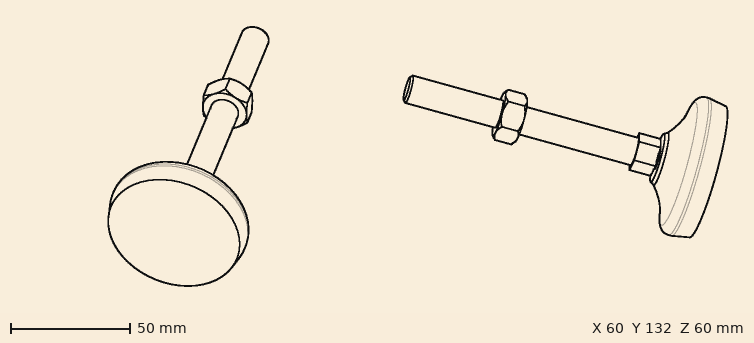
import cadquery as cq
import math


FOOT_RADIUS = 60 / 2
SOLE_RADIUS = 28.6
BAND_BOTTOM = 7.7
BAND_TOP = 8.9
RIM_ROUND = 4.0
FLARE_RADIUS = 30.0
FLARE_END_ANGLE = math.radians(10)
FOOT_HEIGHT = 22.0
SHOULDER_HEIGHT = 1.5
TOP_RADIUS = 10.5

TOTAL_LENGTH = 132.0
STUD_DIAMETER = 12.0
STUD_CHAMFER = 1.0
NECK_DIAMETER = 10.0
NECK_LENGTH = 0.8

HEX_BOTTOM = FOOT_HEIGHT + NECK_LENGTH
HEX_LENGTH = 9.3
HEX_WIDTH = 14.0

NUT_BOTTOM = 82.0
NUT_THICKNESS = 9.6
NUT_WIDTH = 19.0
NUT_FACE_RADIUS = NUT_WIDTH / 2
NUT_CHAMFER_ANGLE = math.radians(40)


def across_corners(width_across_flats):
    """Corner-to-corner width of a regular hexagon."""
    return width_across_flats / math.cos(math.pi / 6)


def plane_at(y):
    """Plane square to the axis at height y; its local x runs along Z and its normal along +Y."""
    return cq.Workplane(cq.Plane(origin=(0, y, 0), xDir=(0, 0, 1), normal=(0, 1, 0)))


def cylinder(bottom, top, diameter):
    return plane_at(bottom).circle(diameter / 2).extrude(top - bottom)


def hexagon(bottom, length, width_across_flats):
    """Hexagonal prism with two corners on Z and two flats facing X."""
    return plane_at(bottom).polygon(6, across_corners(width_across_flats)).extrude(length)


def revolve_about_y(profile):
    return profile.close().revolve(360, (0, 0, 0), (0, 1, 0))


def make_foot():
    rim_x = FOOT_RADIUS - RIM_ROUND
    rim_y = BAND_TOP

    def on_rim(angle):
        return (rim_x + RIM_ROUND * math.sin(angle), rim_y + RIM_ROUND * math.cos(angle))

    centre_distance = RIM_ROUND + FLARE_RADIUS
    flare_x = rim_x + centre_distance * math.sin(FLARE_END_ANGLE)
    flare_y = rim_y + centre_distance * math.cos(FLARE_END_ANGLE)

    def on_flare(angle):
        return (flare_x - FLARE_RADIUS * math.sin(angle), flare_y - FLARE_RADIUS * math.cos(angle))

    rim_middle_angle = (math.pi / 2 + FLARE_END_ANGLE) / 2
    shoulder_y = FOOT_HEIGHT - SHOULDER_HEIGHT
    shoulder_angle = math.acos((flare_y - shoulder_y) / FLARE_RADIUS)
    flare_middle_angle = (FLARE_END_ANGLE + shoulder_angle) / 2

    profile = (
        cq.Workplane("XY")
        .lineTo(SOLE_RADIUS, 0)
        .lineTo(FOOT_RADIUS, BAND_BOTTOM)
        .lineTo(FOOT_RADIUS, BAND_TOP)
        .threePointArc(on_rim(rim_middle_angle), on_rim(FLARE_END_ANGLE))
        .threePointArc(on_flare(flare_middle_angle), on_flare(shoulder_angle))
        .lineTo(TOP_RADIUS, FOOT_HEIGHT)
        .lineTo(0, FOOT_HEIGHT)
    )
    return revolve_about_y(profile)


def make_stud():
    neck = cylinder(FOOT_HEIGHT, HEX_BOTTOM, NECK_DIAMETER)
    wrench_hexagon = hexagon(HEX_BOTTOM, HEX_LENGTH, HEX_WIDTH)
    rod = cylinder(HEX_BOTTOM + HEX_LENGTH, TOTAL_LENGTH, STUD_DIAMETER)
    rod = rod.faces(">Y").chamfer(STUD_CHAMFER)
    return neck.union(wrench_hexagon).union(rod)


def make_nut():
    corner_radius = across_corners(NUT_WIDTH) / 2
    chamfer_height = (corner_radius - NUT_FACE_RADIUS) * math.tan(NUT_CHAMFER_ANGLE)
    nut_top = NUT_BOTTOM + NUT_THICKNESS
    chamfered_envelope = (
        cq.Workplane("XY")
        .moveTo(0, NUT_BOTTOM)
        .lineTo(NUT_FACE_RADIUS, NUT_BOTTOM)
        .lineTo(corner_radius, NUT_BOTTOM + chamfer_height)
        .lineTo(corner_radius, nut_top - chamfer_height)
        .lineTo(NUT_FACE_RADIUS, nut_top)
        .lineTo(0, nut_top)
    )
    return hexagon(NUT_BOTTOM, NUT_THICKNESS, NUT_WIDTH).intersect(revolve_about_y(chamfered_envelope))


result = make_foot().union(make_stud()).union(make_nut())